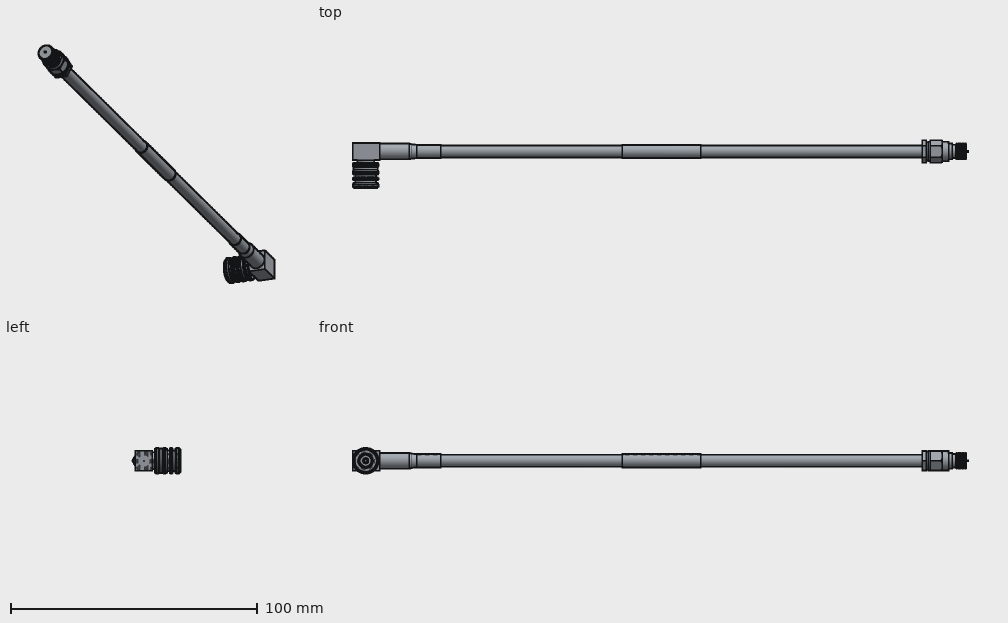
import cadquery as cq
import math

total_length = 249.3
hex_flats = 8.0
hex_corners = hex_flats / math.cos(math.pi / 6)
nut_front = 15.0
cable_y = (nut_front - hex_corners / 2) / 2

cable_radius = 2.5
sleeve_radius = 2.7
cable_start = 26.0
cable_end = 230.5
collar_end = 35.6
label_start = 109.2
label_end = 140.9

block_length = 11.0
block_width = 7.0
block_height = 8.2
barrel_radius = 3.2
barrel_chamfer = 0.2
barrel_straight_end = 23.0
barrel_shoulder = 23.7
barrel_tip_radius = 2.7

nut_radius = 5.2
nut_x = nut_radius
nut_core_radius = 4.2
neck_radius = 3.5
band_radius = 5.0
nut_back = 4.5
band_start = 6.5
band_end = 7.5
ribs = [(nut_back, band_start), (band_end, 9.5), (10.5, 11.7), (12.7, nut_front)]
rib_chamfer_length = 0.7
rib_chamfer_depth = 0.37
front_chamfer_depth = 0.7

nut_bore_radius = 3.0
nut_bore_depth = 5.0
tube_outer_radius = 2.7
tube_inner_radius = 2.37
tube_setback = 0.7
insulator_setback = 1.5
pin_hole_radius = 1.12
pin_radius = 0.62
pin_setback = 1.0

flange_end = 232.3
hex_groove_radius = 3.7
hex_groove_end = 233.0
hex_start = 233.8
hex_end = 238.8
hex_chamfer = 0.5
ring_radius = 4.0
ring_end = 241.3
shoulder_radius = 3.2
shoulder_end = 242.8
relief_radius = 2.7
thread_start = 244.3
thread_end = 248.5
thread_radius = 3.2
thread_depth = 0.37
thread_count = 6
end_pin_radius = 0.2


def rod(start, end, radius):
    """Cylinder along the cable axis from one X position to another."""
    return cq.Workplane("YZ", origin=(start, cable_y, 0)).circle(radius).extrude(end - start)


def sleeve(start, end):
    """Thin tube that fits closely around the cable."""
    return rod(start, end, sleeve_radius).cut(rod(start, end, cable_radius))


def nut_disc(start, end, radius):
    """Cylinder on the nut axis; distances are measured from the cable axis toward -Y."""
    return cq.Workplane("XZ", origin=(nut_x, cable_y - start, 0)).circle(radius).extrude(end - start)


def make_barrel():
    """Tube that grips the cable, with a chamfered end and a tapered tip."""
    outline = [
        (block_length, 0),
        (block_length, barrel_radius),
        (barrel_straight_end, barrel_radius),
        (barrel_shoulder, barrel_radius - barrel_chamfer),
        (cable_start, barrel_tip_radius),
        (cable_start, 0),
    ]
    barrel = cq.Workplane("XY").polyline(outline).close().revolve(360, (0, 0, 0), (1, 0, 0))
    return barrel.translate((0, cable_y, 0))


def make_rib(start, end):
    """Raised ring of the nut, chamfered on both rims."""
    length = min(rib_chamfer_length, (end - start) / 3)
    back_radius = nut_radius - rib_chamfer_depth
    front_depth = front_chamfer_depth if end == nut_front else rib_chamfer_depth
    outline = [
        (0, -start),
        (back_radius, -start),
        (nut_radius, -start - length),
        (nut_radius, -end + length),
        (nut_radius - front_depth, -end),
        (0, -end),
    ]
    rib = cq.Workplane("XY").polyline(outline).close().revolve(360, (0, 0, 0), (0, 1, 0))
    return rib.translate((nut_x, cable_y, 0))


def make_nut():
    """Ribbed nut with the coaxial socket in its front."""
    nut = nut_disc(nut_back, nut_front, nut_core_radius)
    nut = nut.union(nut_disc(band_start, band_end, band_radius))
    for start, end in ribs:
        nut = nut.union(make_rib(start, end))
    floor = nut_front - nut_bore_depth
    tube_front = nut_front - tube_setback
    insulator_front = nut_front - insulator_setback
    nut = nut.cut(nut_disc(floor, nut_front, nut_bore_radius))
    nut = nut.union(nut_disc(floor, tube_front, tube_outer_radius))
    nut = nut.cut(nut_disc(insulator_front, tube_front, tube_inner_radius))
    nut = nut.cut(nut_disc(floor, insulator_front, pin_hole_radius))
    return nut.union(nut_disc(floor, nut_front - pin_setback, pin_radius))


def make_elbow():
    """Right-angle connector: block, cable barrel and nut."""
    block = cq.Workplane("XY").box(block_length, block_width, block_height, centered=(False, True, True))
    block = block.translate((0, cable_y, 0))
    neck = nut_disc(0, nut_back, neck_radius)
    return block.union(make_barrel()).union(neck).union(make_nut())


def hex_bar(start, end):
    """Hexagonal bar along the cable axis with two corners on the Y direction."""
    return cq.Workplane("YZ", origin=(start, cable_y, 0)).polygon(6, hex_corners).extrude(end - start)


def make_wrench_hex():
    """Thin hexagonal flange and a longer hexagon, joined by a stepped round groove."""
    flange = hex_bar(cable_end, flange_end)
    groove = rod(flange_end, hex_groove_end, hex_groove_radius)
    groove_step = rod(hex_groove_end, hex_start, hex_flats / 2)
    corner_cone = rod(hex_start, hex_end, hex_corners / 2).faces(">X").chamfer(hex_chamfer)
    main_hex = hex_bar(hex_start, hex_end).intersect(corner_cone)
    return flange.union(groove).union(groove_step).union(main_hex)


def make_thread():
    """Threaded end as a row of V-shaped ridges."""
    pitch = (thread_end - thread_start) / thread_count
    root = thread_radius - thread_depth
    outline = [(thread_start, 0), (thread_start, root)]
    for i in range(thread_count):
        ridge_start = thread_start + i * pitch
        outline.append((ridge_start + pitch / 2, thread_radius))
        outline.append((ridge_start + pitch, root))
    outline.append((thread_end, 0))
    thread = cq.Workplane("XY").polyline(outline).close().revolve(360, (0, 0, 0), (1, 0, 0))
    return thread.translate((0, cable_y, 0))


def make_straight_connector():
    """In-line connector: hexagon, stepped collar, thread and centre pin."""
    connector = make_wrench_hex()
    connector = connector.union(rod(hex_end, ring_end, ring_radius))
    connector = connector.union(rod(ring_end, shoulder_end, shoulder_radius))
    connector = connector.union(rod(shoulder_end, thread_start, relief_radius))
    connector = connector.union(make_thread())
    return connector.union(rod(thread_end, total_length, end_pin_radius))


elbow = make_elbow()
cable = rod(cable_start, cable_end, cable_radius)
collar = sleeve(cable_start, collar_end)
label = sleeve(label_start, label_end)
straight_connector = make_straight_connector()

result = cq.Compound.makeCompound(
    [elbow.val(), cable.val(), collar.val(), label.val(), straight_connector.val()]
)